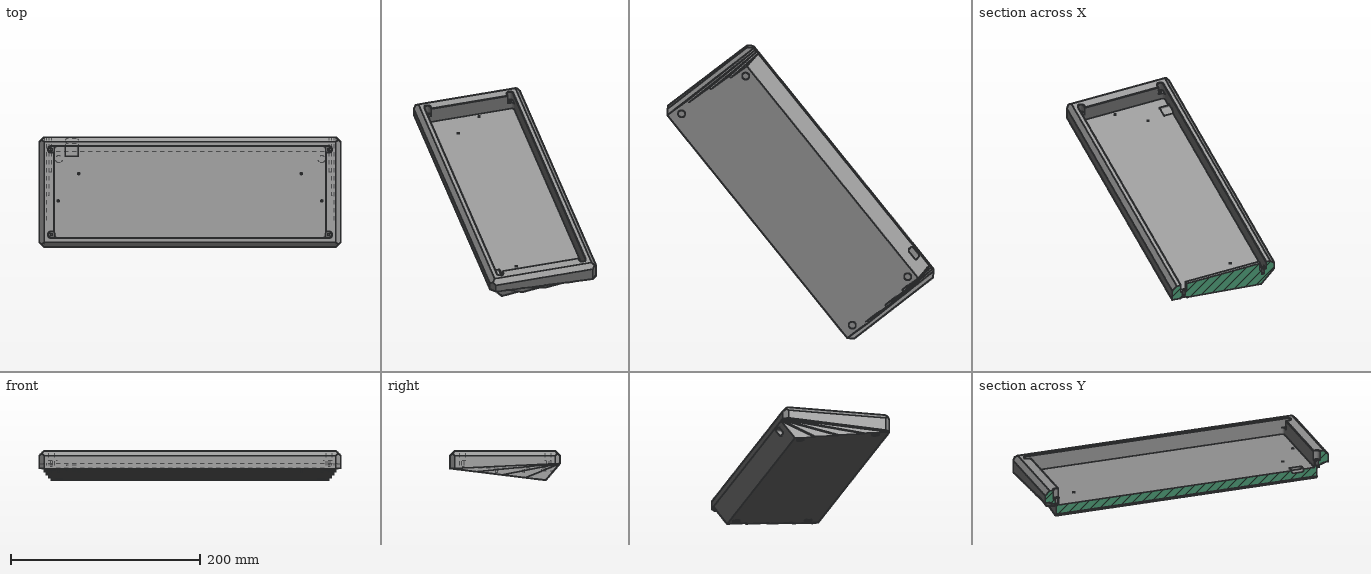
import cadquery as cq
import math

LENGTH = 318.8
WIDTH = 116.5
HEIGHT = 31.2
EDGE_CHAMFER = 5.0
FRONT_HEIGHT = 18.8
BACK_HEIGHT = 13.5

FOOT_TILT = 7.0
FOOT_LAYER_ANGLES = (5.6, 11.2, 22.5)
FOOT_FIRST_INSET = EDGE_CHAMFER
FOOT_STEP = 2.5

PAD_DIAMETER = 7.5
PAD_DEPTH = 1.0
PAD_MARGIN = 8.0

SIDE_WALL = 16.0
LONG_WALL = 10.0
CAVITY_DEPTH = 18.0
RIM_CHAMFER = 0.5
CAVITY_CORNER_RADIUS = 2.5

SEAT_DIAMETER = 6.5
SEAT_DEPTH = 10.2
SEAT_SIDE_INSET = 12.8
SCREW_DIAMETER = 2.5
SCREW_DEPTH = 6.5

FLOOR_HOLE_DIAMETER = 1.8
FLOOR_HOLE_DEPTH = 4.8
FLOOR_HOLES = ((117.5, 19.5), (139.3, -9.2))

PORT_X = -125.0
PORT_WIDTH = 13.5
PORT_HEIGHT = 6.5
PORT_CORNER_RADIUS = 2.0
PORT_LENGTH = 20.0

front_y = -WIDTH / 2
back_y = WIDTH / 2
front_edge = (front_y, -FRONT_HEIGHT)
back_edge = (back_y, -BACK_HEIGHT)
tilt_slope = math.tan(math.radians(FOOT_TILT))
foot_apex = (front_y + (HEIGHT - FRONT_HEIGHT) / tilt_slope, -HEIGHT)


def extrude_profile(points, length):
    """Extrude a closed (Y, Z) outline along X, centred on X = 0."""
    return cq.Workplane("YZ").polyline(points).close().extrude(length / 2, both=True)


def underside_z(y):
    """Height of the sloping underside at a given Y."""
    return -FRONT_HEIGHT - (y - front_y) * tilt_slope


def make_shell():
    """Chamfered block whose bottom slopes down towards the front."""
    block = (
        cq.Workplane("XY")
        .box(LENGTH, WIDTH, HEIGHT, centered=(True, True, False))
        .translate((0, 0, -HEIGHT))
        .faces(">Z")
        .chamfer(EDGE_CHAMFER)
        .edges("|Z")
        .chamfer(EDGE_CHAMFER)
    )
    side_profile = [(front_y, 0), front_edge, back_edge, (back_y, 0)]
    return block.intersect(extrude_profile(side_profile, LENGTH))


def layer_tip(angle):
    """Point where a layer line from the back edge meets the underside."""
    slope = math.tan(math.radians(angle))
    drop_at_back = -BACK_HEIGHT - underside_z(back_y)
    reach = drop_at_back / (slope + tilt_slope)
    return (back_y - reach, -BACK_HEIGHT - reach * slope)


def make_foot():
    """Nested wedges, each shorter in X than the one above it."""
    tips = [front_edge] + [layer_tip(angle) for angle in FOOT_LAYER_ANGLES] + [foot_apex]
    foot = cq.Workplane("YZ")
    for index, (front_tip, back_tip) in enumerate(zip(tips, tips[1:])):
        length = LENGTH - 2 * (FOOT_FIRST_INSET + index * FOOT_STEP)
        foot = foot.add(extrude_profile([back_edge, front_tip, back_tip], length))
    return foot.combine()


def make_pads():
    """Pad recesses near the four corners of the underside, square to it."""
    last_inset = FOOT_FIRST_INSET + len(FOOT_LAYER_ANGLES) * FOOT_STEP
    front_pad = (LENGTH / 2 - FOOT_FIRST_INSET - PAD_MARGIN, front_y + EDGE_CHAMFER + PAD_MARGIN)
    back_pad = (LENGTH / 2 - last_inset - PAD_MARGIN, foot_apex[0] - PAD_MARGIN)
    tilt = math.radians(FOOT_TILT)
    inward = cq.Vector(0, math.sin(tilt), math.cos(tilt))
    pads = cq.Workplane("XY")
    for x, y in (front_pad, back_pad):
        for side in (-1, 1):
            centre = cq.Vector(side * x, y, underside_z(y))
            pad = cq.Solid.makeCylinder(PAD_DIAMETER / 2, PAD_DEPTH, centre, inward)
            pads = pads.add(pad)
    return pads.combine()


def make_cavity():
    """Rectangular pocket with rounded vertical corners."""
    return (
        cq.Workplane("XY")
        .rect(LENGTH - 2 * SIDE_WALL, WIDTH - 2 * LONG_WALL)
        .extrude(-CAVITY_DEPTH)
        .edges("|Z")
        .fillet(CAVITY_CORNER_RADIUS)
    )


def make_holes(points, diameter, top_z, depth):
    """Vertical blind holes starting at top_z."""
    return (
        cq.Workplane("XY", origin=(0, 0, top_z))
        .pushPoints(points)
        .circle(diameter / 2)
        .extrude(-depth)
    )


def make_seats():
    """Corner recesses: rounded towards the end wall, open to the cavity."""
    seats = make_holes(seat_points, SEAT_DIAMETER, 0, SEAT_DEPTH)
    mouth_length = SIDE_WALL + CAVITY_CORNER_RADIUS - SEAT_SIDE_INSET
    mouths = (
        cq.Workplane("XY")
        .pushPoints([(math.copysign(seat_x - mouth_length / 2, x), y) for x, y in seat_points])
        .rect(mouth_length, SEAT_DIAMETER)
        .extrude(-SEAT_DEPTH)
    )
    return seats.union(mouths)


def make_port():
    """Rounded rectangular slot, half sunk into the floor, open at the back."""
    return (
        cq.Workplane("XZ", origin=(PORT_X, back_y, -CAVITY_DEPTH))
        .rect(PORT_WIDTH, PORT_HEIGHT)
        .extrude(PORT_LENGTH)
        .edges("|Y")
        .fillet(PORT_CORNER_RADIUS)
    )


seat_x = LENGTH / 2 - SEAT_SIDE_INSET
seat_y = WIDTH / 2 - LONG_WALL - SEAT_DIAMETER / 2
seat_points = [(sx * seat_x, sy * seat_y) for sx in (-1, 1) for sy in (-1, 1)]
floor_points = [(side * x, y) for x, y in FLOOR_HOLES for side in (-1, 1)]

rim_x = LENGTH / 2 - (EDGE_CHAMFER + SEAT_SIDE_INSET - SEAT_DIAMETER / 2) / 2
rim_y = WIDTH / 2 - (EDGE_CHAMFER + LONG_WALL) / 2
inner_rim = cq.selectors.BoxSelector(
    (-rim_x, -rim_y, -RIM_CHAMFER),
    (rim_x, rim_y, RIM_CHAMFER),
)

result = (
    make_shell()
    .union(make_foot())
    .cut(make_pads())
    .cut(make_cavity())
    .cut(make_seats())
    .edges(inner_rim)
    .chamfer(RIM_CHAMFER)
    .cut(make_holes(seat_points, SCREW_DIAMETER, -SEAT_DEPTH, SCREW_DEPTH))
    .cut(make_holes(floor_points, FLOOR_HOLE_DIAMETER, -CAVITY_DEPTH, FLOOR_HOLE_DEPTH))
    .cut(make_port())
)